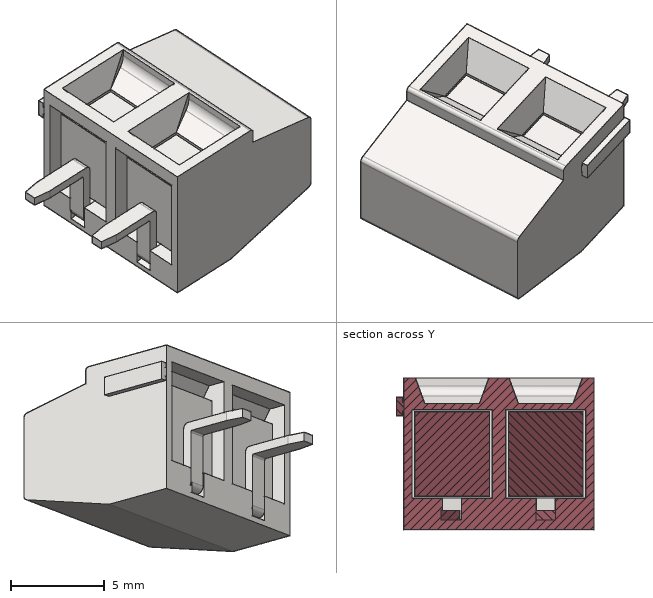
import cadquery as cq
import math


HOUSING_WIDTH = 10.17
HOUSING_DEPTH = 10.0
HOUSING_HEIGHT = 8.1
POLE_PITCH = 5.0
FIRST_POLE_X = (HOUSING_WIDTH - POLE_PITCH) / 2
POLE_CENTERS = [FIRST_POLE_X, FIRST_POLE_X + POLE_PITCH]
FLAT_BASE_DEPTH = 4.0
BASE_SLOPE = math.radians(15)
STEP_Y = 5.67
STEP_FOOT_HEIGHT = 7.18
ROOF_SLOPE = math.radians(10)
REAR_FILLET = 0.27
STEP_FILLET = 0.22

CLAMP_WIDTH = 4.0
CLAMP_FRONT_Y = 0.72
CLAMP_DEPTH = 5.0
CLAMP_BOTTOM = 1.78
CLAMP_TOP = 6.3
SIDE_CLEARANCE = 0.14
END_CLEARANCE = 0.1
CAVITY_WIDTH = CLAMP_WIDTH + 2 * SIDE_CLEARANCE
CAVITY_BACK_Y = CLAMP_FRONT_Y + CLAMP_DEPTH
CAVITY_BOTTOM = CLAMP_BOTTOM - END_CLEARANCE
CAVITY_TOP = CLAMP_TOP + END_CLEARANCE
CAVITY_MOUTH_TOP = 7.26
FUNNEL_WALL = 0.2

FUNNEL_WIDTH = 3.9
FUNNEL_FRONT_Y = 0.77
FUNNEL_BACK_Y = 5.32
THROAT_WIDTH = 2.78
THROAT_FRONT_Y = 1.81
THROAT_BACK_Y = 3.82
THROAT_TOP = 6.56
FUNNEL_BACK_SLOPE = math.radians(26.5)
FUNNEL_BACK_RADIUS = 0.61

PIN_PITCH = 5.08
PIN_WIDTH = 1.0
PIN_THICKNESS = 0.5
LAST_PIN_X = POLE_CENTERS[-1]
PIN_CENTERS = [LAST_PIN_X - PIN_PITCH, LAST_PIN_X]
PIN_TOP = 4.29
PIN_LENGTH = 3.5
PIN_TAPER_LENGTH = 1.0
PIN_TIP_WIDTH = 0.7
PIN_HEEL_RADIUS = 0.3
PIN_INNER_RADIUS = 0.1
FOOT_BOTTOM = 0.54
FOOT_END_Y = 2.0
FOOT_BEND_RADIUS = 0.36

SLOT_MOUTH_BOTTOM = 0.31
SLOT_FLOOR_SLOPE = math.radians(9.5)

RAIL_LENGTH = 4.0
RAIL_BOTTOM = 6.08
RAIL_HEIGHT = 1.0
RAIL_PROJECTION = 0.39
RAIL_GAP = 0.05
RAIL_NECK_HEIGHT = 0.49


def box(x_min, x_max, y_min, y_max, z_min, z_max):
    """Box given by its limits along the three axes."""
    size = (x_max - x_min, y_max - y_min, z_max - z_min)
    return cq.Workplane("XY").box(*size, centered=False).translate((x_min, y_min, z_min))


def side_profile(start_x, y, z):
    """Workplane with local axes Y and Z, started at (y, z) and extruding toward +X."""
    return cq.Workplane("YZ", origin=(start_x, 0, 0)).moveTo(y, z)


def make_shell():
    rear_bottom = (HOUSING_DEPTH - FLAT_BASE_DEPTH) * math.tan(BASE_SLOPE)
    rear_top = STEP_FOOT_HEIGHT - (HOUSING_DEPTH - STEP_Y) * math.tan(ROOF_SLOPE)
    shell = (
        side_profile(0, 0, 0)
        .lineTo(FLAT_BASE_DEPTH, 0)
        .lineTo(HOUSING_DEPTH, rear_bottom)
        .lineTo(HOUSING_DEPTH, rear_top)
        .lineTo(STEP_Y, STEP_FOOT_HEIGHT)
        .lineTo(STEP_Y, HOUSING_HEIGHT)
        .lineTo(0, HOUSING_HEIGHT)
        .close()
        .extrude(HOUSING_WIDTH)
    )
    shell = shell.faces(">Y").edges("|X").fillet(REAR_FILLET)
    return shell.faces(">Z").edges(">Y").fillet(STEP_FILLET)


def make_cavity(center_x):
    """Clamp chamber, open to the front; its ceiling steps down along the funnel's front wall."""
    funnel_front_slope = (HOUSING_HEIGHT - THROAT_TOP) / (THROAT_FRONT_Y - FUNNEL_FRONT_Y)
    slope_end_y = THROAT_FRONT_Y - FUNNEL_WALL
    slope_start_y = slope_end_y - (CAVITY_MOUTH_TOP - CAVITY_TOP) / funnel_front_slope
    return (
        side_profile(center_x - CAVITY_WIDTH / 2, 0, CAVITY_BOTTOM)
        .lineTo(CAVITY_BACK_Y, CAVITY_BOTTOM)
        .lineTo(CAVITY_BACK_Y, CAVITY_TOP)
        .lineTo(slope_end_y, CAVITY_TOP)
        .lineTo(slope_start_y, CAVITY_MOUTH_TOP)
        .lineTo(0, CAVITY_MOUTH_TOP)
        .close()
        .extrude(CAVITY_WIDTH)
    )


def make_funnel_pyramid(center_x):
    """Four-sided taper from the top face down to the throat."""
    funnel_length = FUNNEL_BACK_Y - FUNNEL_FRONT_Y
    throat_length = THROAT_BACK_Y - THROAT_FRONT_Y
    funnel_center_y = (FUNNEL_FRONT_Y + FUNNEL_BACK_Y) / 2
    throat_center_y = (THROAT_FRONT_Y + THROAT_BACK_Y) / 2
    return (
        cq.Workplane("XY", origin=(center_x, throat_center_y, THROAT_TOP))
        .rect(THROAT_WIDTH, throat_length)
        .workplane(offset=HOUSING_HEIGHT - THROAT_TOP)
        .center(0, funnel_center_y - throat_center_y)
        .rect(FUNNEL_WIDTH, funnel_length)
        .loft(ruled=True)
    )


def make_funnel_scoop(center_x):
    """Rounded hollow behind the throat: a curved back wall between upright, splayed side walls."""
    arc_center_y = FUNNEL_BACK_Y - FUNNEL_BACK_RADIUS
    arc_end_y = arc_center_y + FUNNEL_BACK_RADIUS * math.sin(FUNNEL_BACK_SLOPE)
    arc_end_z = THROAT_TOP + (arc_end_y - THROAT_BACK_Y) * math.tan(FUNNEL_BACK_SLOPE)
    arc_start_z = arc_end_z + FUNNEL_BACK_RADIUS * math.cos(FUNNEL_BACK_SLOPE)
    back_wall = (
        side_profile(center_x - FUNNEL_WIDTH / 2, THROAT_BACK_Y, THROAT_TOP)
        .lineTo(arc_end_y, arc_end_z)
        .radiusArc((FUNNEL_BACK_Y, arc_start_z), -FUNNEL_BACK_RADIUS)
        .lineTo(FUNNEL_BACK_Y, HOUSING_HEIGHT)
        .close()
        .extrude(FUNNEL_WIDTH)
    )
    side_walls = (
        cq.Workplane("XY", origin=(center_x, 0, 0))
        .moveTo(-THROAT_WIDTH / 2, THROAT_BACK_Y)
        .lineTo(THROAT_WIDTH / 2, THROAT_BACK_Y)
        .lineTo(FUNNEL_WIDTH / 2, FUNNEL_BACK_Y)
        .lineTo(-FUNNEL_WIDTH / 2, FUNNEL_BACK_Y)
        .close()
        .extrude(HOUSING_HEIGHT)
    )
    return back_wall.intersect(side_walls)


def make_funnel(center_x):
    """Wire entry: pyramid and scoop, with a straight throat down to the clamp chamber."""
    throat = box(
        center_x - THROAT_WIDTH / 2, center_x + THROAT_WIDTH / 2,
        THROAT_FRONT_Y, THROAT_BACK_Y, CAVITY_TOP, THROAT_TOP,
    )
    return make_funnel_pyramid(center_x).union(make_funnel_scoop(center_x)).union(throat)


def make_foot_slot(center_x):
    """Slot below the cavity, with a floor that rises from the mouth to the pin foot."""
    floor_end_y = (FOOT_BOTTOM - SLOT_MOUTH_BOTTOM) / math.tan(SLOT_FLOOR_SLOPE)
    return (
        side_profile(center_x - PIN_WIDTH / 2, 0, SLOT_MOUTH_BOTTOM)
        .lineTo(floor_end_y, FOOT_BOTTOM)
        .lineTo(FOOT_END_Y, FOOT_BOTTOM)
        .lineTo(FOOT_END_Y, CAVITY_BOTTOM)
        .lineTo(0, CAVITY_BOTTOM)
        .close()
        .extrude(PIN_WIDTH)
    )


def make_pin(center_x):
    """Flat pin: a tapered prong, an upright leg flush with the housing front, and a bent foot."""
    prong_bottom = PIN_TOP - PIN_THICKNESS
    foot_top = FOOT_BOTTOM + PIN_THICKNESS
    strip = (
        side_profile(center_x - PIN_WIDTH / 2, -PIN_LENGTH, PIN_TOP)
        .lineTo(PIN_THICKNESS - PIN_HEEL_RADIUS, PIN_TOP)
        .radiusArc((PIN_THICKNESS, PIN_TOP - PIN_HEEL_RADIUS), PIN_HEEL_RADIUS)
        .lineTo(PIN_THICKNESS, foot_top)
        .lineTo(FOOT_END_Y, foot_top)
        .lineTo(FOOT_END_Y, FOOT_BOTTOM)
        .lineTo(FOOT_BEND_RADIUS, FOOT_BOTTOM)
        .radiusArc((0, FOOT_BOTTOM + FOOT_BEND_RADIUS), FOOT_BEND_RADIUS)
        .lineTo(0, prong_bottom - PIN_INNER_RADIUS)
        .radiusArc((-PIN_INNER_RADIUS, prong_bottom), -PIN_INNER_RADIUS)
        .lineTo(-PIN_LENGTH, prong_bottom)
        .close()
        .extrude(PIN_WIDTH)
    )
    taper_y = PIN_TAPER_LENGTH - PIN_LENGTH
    outline = (
        cq.Workplane("XY", origin=(center_x, 0, 0))
        .moveTo(-PIN_WIDTH / 2, FOOT_END_Y)
        .lineTo(-PIN_WIDTH / 2, taper_y)
        .lineTo(-PIN_TIP_WIDTH / 2, -PIN_LENGTH)
        .lineTo(PIN_TIP_WIDTH / 2, -PIN_LENGTH)
        .lineTo(PIN_WIDTH / 2, taper_y)
        .lineTo(PIN_WIDTH / 2, FOOT_END_Y)
        .close()
        .extrude(HOUSING_HEIGHT)
    )
    return strip.intersect(outline)


def make_clamp(center_x):
    return box(
        center_x - CLAMP_WIDTH / 2, center_x + CLAMP_WIDTH / 2,
        CLAMP_FRONT_Y, CAVITY_BACK_Y, CLAMP_BOTTOM, CLAMP_TOP,
    )


def make_rail():
    """Rail head held off the housing by a narrower neck."""
    neck_bottom = RAIL_BOTTOM + (RAIL_HEIGHT - RAIL_NECK_HEIGHT) / 2
    head = box(-RAIL_PROJECTION, -RAIL_GAP, 0, RAIL_LENGTH, RAIL_BOTTOM, RAIL_BOTTOM + RAIL_HEIGHT)
    neck = box(-RAIL_GAP, 0, 0, RAIL_LENGTH, neck_bottom, neck_bottom + RAIL_NECK_HEIGHT)
    return head.union(neck)


def make_housing(pins):
    housing = make_shell()
    for center_x in POLE_CENTERS:
        housing = housing.cut(make_cavity(center_x))
        housing = housing.cut(make_funnel(center_x))
        housing = housing.cut(make_foot_slot(center_x))
    for pin in pins:
        housing = housing.cut(pin)
    return housing


pins = [make_pin(center_x) for center_x in PIN_CENTERS]
clamps = [make_clamp(center_x) for center_x in POLE_CENTERS]
rail = make_rail()
housing = make_housing(pins)

bodies = [housing, rail, *pins, *clamps]
result = cq.Compound.makeCompound([body.val() for body in bodies])